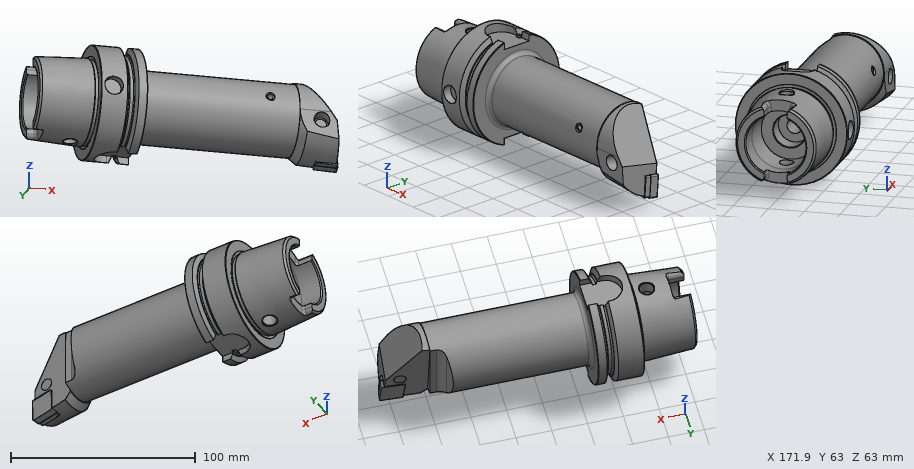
import cadquery as cq
import math

TOOL_LENGTH = 171.9
CUTTER_SIZE = 137.5

TAPER_NOSE_RADIUS = 22.5
TAPER_BASE_RADIUS = 24.0
TAPER_END_X = 30.0
TAPER_NOSE_CHAMFER = 1.2
UNDERCUT_RADIUS = 23.5
FACE_RECESS_RADIUS = 25.3
FACE_RECESS_DEPTH = 0.5
BORE_FLOOR_RADIUS = 15.8
BORE_DEPTH = 28.4
BORE_MOUTH_RADIUS = 16.8
BORE_MOUTH_DEPTH = 12.9
BORE_MOUTH_CHAMFER = 0.7
COUPLING_RADIUS = 9.1
COUPLING_DEPTH = 10.3
COUPLING_CHAMFER = 0.3
DUCT_RADIUS = 4.3
DUCT_DEPTH = 13.8
DRILL_POINT_ANGLE = 118.0
CROSS_HOLE_X = 22.7
CROSS_HOLE_RADIUS = 4.0
CROSS_HOLE_RELIEF_RADIUS = 4.3
CROSS_HOLE_RELIEF_HEIGHT = 22.9

SLOT_HALF_WIDTH = 6.5
SLOT_LIP_RADIUS = 2.5
SLOT_LIP_TOP = 21.0
SLOT_END_FILLET = 1.4
UPPER_SLOT_DEPTH = 10.0
LOWER_SLOT_DEPTH = 5.7

FLANGE_RADIUS = 31.5
FLANGE_CHAMFER = 0.3
FLANGE_START_X = 31.8
FLANGE_END_X = 57.8
GROOVE_RADIUS = 27.2
GROOVE_FRONT_X = 46.4
GROOVE_FLOOR_START_X = 49.0
GROOVE_FLOOR_END_X = 50.9
GROOVE_REAR_X = 52.8
GROOVE_FRONT_STEP_X = 48.0
GROOVE_REAR_STEP_X = 51.4
GROOVE_STEP_TOP_RADIUS = 28.5
GROOVE_STEP_RADIUS = 27.8
KEYWAY_START_X = 36.5
KEYWAY_HALF_WIDTH = 9.0
KEYWAY_FLOOR = 26.1
CHIP_HOLE_X = 38.8
CHIP_HOLE_RADIUS = 5.2
CHIP_HOLE_DEPTH = 5.2

SHANK_RADIUS = 20.1
SHANK_END_X = 146.0
NECK_FILLET = 2.5

HEAD_RADIUS = 20.6
FLARE_END_X = 149.9
FLARE_RADIUS = 24.0
HEAD_END_RADIUS = 26.0
FLUTE_START_X = 135.8
FLUTE_CORNER_X = 137.7
FLUTE_CORNER_Y = 13.0
FLUTE_FLOOR_X = 142.3
FLUTE_FLOOR_Y = 9.0
NOSE_CUT_X = 149.0
NOSE_CUT_ANGLE = 55.0
END_FACE_X = 167.0
END_FACE_Z = -6.9
END_FACE_ANGLE = 5.3

TIP_Z = -27.0
TIP_ANGLE = 80.0
EDGE_CLEARANCE_ANGLE = 5.0
EDGE_LENGTH = 13.0
NOSE_RADIUS = 0.9
INSERT_THICKNESS = 4.8
SHIM_THICKNESS = 3.1
SHIM_INSET = 0.3
SEAT_SLOPE = 0.13
RAKE_DROP = 0.5

LOCK_HOLE_X = 158.1
LOCK_HOLE_Z = -5.0
LOCK_HOLE_RADIUS = 4.3
LOCK_SCREW_RADIUS = 3.5
LOCK_SCREW_DEPTH = 6.5

PLUG_X = 129.8
PLUG_Z = 6.2
PLUG_RADIUS = 2.4
PLUG_RECESS = 0.7
PLUG_LENGTH = 6.0
PLUG_SOCKET_RADIUS = 1.5
PLUG_SOCKET_DEPTH = 2.0

SEAT_INWARD = cq.Vector(-SEAT_SLOPE, -1, SEAT_SLOPE).normalized()
SEAT_X_DIRECTION = cq.Vector(1, -SEAT_SLOPE, 0)
TIP_POINT = cq.Vector(TOOL_LENGTH, 0, TIP_Z)
LOCK_HOLE_MOUTH = cq.Vector(LOCK_HOLE_X, -HEAD_RADIUS, LOCK_HOLE_Z)


def seat_plane(depth):
    """Plane parallel to the insert, `depth` below its top; its X runs forward and its Y up."""
    return cq.Plane(TIP_POINT + SEAT_INWARD * depth, SEAT_X_DIRECTION, SEAT_INWARD)


def trim_block(point, outward):
    """Large block that lies on the outer side of a plane."""
    plane = cq.Plane(point, normal=outward)
    return cq.Workplane(plane).rect(CUTTER_SIZE, CUTTER_SIZE).extrude(CUTTER_SIZE)


def x_cylinder(radius, start_x, length):
    return cq.Workplane("YZ", origin=(start_x, 0, 0)).circle(radius).extrude(length)


def revolve_about_x(profile):
    """Solid of revolution from (x, radius) points."""
    return cq.Workplane("XY").polyline(profile).close().revolve(360, (0, 0, 0), (1, 0, 0))


def make_turned_blank():
    """Taper, flange and shank as one turned profile."""
    neck_arc = NECK_FILLET * (1 - math.sqrt(0.5))
    profile = (
        cq.Workplane("XY")
        .lineTo(0, TAPER_NOSE_RADIUS - TAPER_NOSE_CHAMFER)
        .lineTo(TAPER_NOSE_CHAMFER, TAPER_NOSE_RADIUS)
        .lineTo(TAPER_END_X, TAPER_BASE_RADIUS)
        .lineTo(TAPER_END_X + (TAPER_BASE_RADIUS - UNDERCUT_RADIUS), UNDERCUT_RADIUS)
        .lineTo(FLANGE_START_X + FACE_RECESS_DEPTH, UNDERCUT_RADIUS)
        .lineTo(FLANGE_START_X + FACE_RECESS_DEPTH, FACE_RECESS_RADIUS)
        .lineTo(FLANGE_START_X, FACE_RECESS_RADIUS)
        .lineTo(FLANGE_START_X, FLANGE_RADIUS - FLANGE_CHAMFER)
        .lineTo(FLANGE_START_X + FLANGE_CHAMFER, FLANGE_RADIUS)
        .lineTo(GROOVE_FRONT_X, FLANGE_RADIUS)
        .lineTo(GROOVE_FRONT_STEP_X, GROOVE_STEP_TOP_RADIUS)
        .lineTo(GROOVE_FRONT_STEP_X, GROOVE_STEP_RADIUS)
        .lineTo(GROOVE_FLOOR_START_X, GROOVE_RADIUS)
        .lineTo(GROOVE_FLOOR_END_X, GROOVE_RADIUS)
        .lineTo(GROOVE_REAR_STEP_X, GROOVE_STEP_RADIUS)
        .lineTo(GROOVE_REAR_STEP_X, GROOVE_STEP_TOP_RADIUS)
        .lineTo(GROOVE_REAR_X, FLANGE_RADIUS)
        .lineTo(FLANGE_END_X - FLANGE_CHAMFER, FLANGE_RADIUS)
        .lineTo(FLANGE_END_X, FLANGE_RADIUS - FLANGE_CHAMFER)
        .lineTo(FLANGE_END_X, SHANK_RADIUS + NECK_FILLET)
        .threePointArc(
            (FLANGE_END_X + neck_arc, SHANK_RADIUS + neck_arc),
            (FLANGE_END_X + NECK_FILLET, SHANK_RADIUS),
        )
        .lineTo(SHANK_END_X, SHANK_RADIUS)
        .lineTo(SHANK_END_X, 0)
        .close()
    )
    return profile.revolve(360, (0, 0, 0), (1, 0, 0))


def make_bore():
    """Bore that narrows towards its floor, with a coupling recess and a coolant duct beyond it."""
    recess_end_x = BORE_DEPTH + COUPLING_DEPTH
    duct_end_x = recess_end_x + DUCT_DEPTH
    drill_tip = DUCT_RADIUS / math.tan(math.radians(DRILL_POINT_ANGLE / 2))
    profile = [
        (0, 0),
        (0, BORE_MOUTH_RADIUS + BORE_MOUTH_CHAMFER),
        (BORE_MOUTH_CHAMFER, BORE_MOUTH_RADIUS),
        (BORE_MOUTH_DEPTH, BORE_MOUTH_RADIUS),
        (BORE_DEPTH, BORE_FLOOR_RADIUS),
        (BORE_DEPTH, COUPLING_RADIUS + COUPLING_CHAMFER),
        (BORE_DEPTH + COUPLING_CHAMFER, COUPLING_RADIUS),
        (recess_end_x, COUPLING_RADIUS),
        (recess_end_x, DUCT_RADIUS),
        (duct_end_x, DUCT_RADIUS),
        (duct_end_x + drill_tip, 0),
    ]
    return revolve_about_x(profile)


def make_driving_slot(depth, side):
    """Slot through the taper wall with rounded outer lips; side is 1 for +Z and -1 for -Z."""
    lip_start = SLOT_LIP_TOP - SLOT_LIP_RADIUS
    lip_end_y = SLOT_HALF_WIDTH + SLOT_LIP_RADIUS
    open_y = 2 * SLOT_HALF_WIDTH
    open_z = SLOT_LIP_TOP + 2 * SLOT_LIP_RADIUS
    arc = SLOT_LIP_RADIUS * (1 - math.sqrt(0.5))
    arc_y = SLOT_HALF_WIDTH + arc
    arc_z = SLOT_LIP_TOP - arc
    outline = (
        cq.Workplane("YZ")
        .moveTo(-SLOT_HALF_WIDTH, 0)
        .lineTo(SLOT_HALF_WIDTH, 0)
        .lineTo(SLOT_HALF_WIDTH, side * lip_start)
        .threePointArc((arc_y, side * arc_z), (lip_end_y, side * SLOT_LIP_TOP))
        .lineTo(open_y, side * SLOT_LIP_TOP)
        .lineTo(open_y, side * open_z)
        .lineTo(-open_y, side * open_z)
        .lineTo(-open_y, side * SLOT_LIP_TOP)
        .lineTo(-lip_end_y, side * SLOT_LIP_TOP)
        .threePointArc((-arc_y, side * arc_z), (-SLOT_HALF_WIDTH, side * lip_start))
        .close()
    )
    return outline.extrude(depth).faces(">X").edges().fillet(SLOT_END_FILLET)


def make_cross_hole():
    """Hole along Z through both taper walls, slightly wider where it breaks the surface."""
    hole = (
        cq.Workplane("XY", origin=(CROSS_HOLE_X, 0, 0))
        .circle(CROSS_HOLE_RADIUS)
        .extrude(FLANGE_RADIUS, both=True)
    )
    for side in (1, -1):
        relief = (
            cq.Workplane("XY", origin=(CROSS_HOLE_X, 0, side * CROSS_HOLE_RELIEF_HEIGHT))
            .circle(CROSS_HOLE_RELIEF_RADIUS)
            .extrude(side * CROSS_HOLE_RADIUS)
        )
        hole = hole.union(relief)
    return hole


def make_keyway(side):
    """Round-ended keyway in the flange, open towards the shank."""
    center_x = KEYWAY_START_X + KEYWAY_HALF_WIDTH
    return (
        cq.Workplane("XY", origin=(0, 0, side * KEYWAY_FLOOR))
        .moveTo(FLANGE_END_X, -KEYWAY_HALF_WIDTH)
        .lineTo(center_x, -KEYWAY_HALF_WIDTH)
        .threePointArc((KEYWAY_START_X, 0), (center_x, KEYWAY_HALF_WIDTH))
        .lineTo(FLANGE_END_X, KEYWAY_HALF_WIDTH)
        .close()
        .extrude(side * FLANGE_RADIUS)
    )


def make_chip_hole():
    """Blind round pocket in the -Y side of the flange."""
    return (
        cq.Workplane("XZ", origin=(CHIP_HOLE_X, -FLANGE_RADIUS + CHIP_HOLE_DEPTH, 0))
        .circle(CHIP_HOLE_RADIUS)
        .extrude(FLANGE_RADIUS)
    )


def make_head_blank():
    """Round upper half and flared lower half, the latter with a flat -Y side."""
    length = TOOL_LENGTH - SHANK_END_X
    flare = revolve_about_x(
        [
            (SHANK_END_X, 0),
            (SHANK_END_X, HEAD_RADIUS),
            (FLARE_END_X, FLARE_RADIUS),
            (TOOL_LENGTH, HEAD_END_RADIUS),
            (TOOL_LENGTH, 0),
        ]
    )
    lower_half = (
        cq.Workplane("XY", origin=(SHANK_END_X + length / 2, 0, 0))
        .rect(length, 2 * HEAD_RADIUS)
        .extrude(-CUTTER_SIZE)
    )
    return x_cylinder(HEAD_RADIUS, SHANK_END_X, length).union(flare.intersect(lower_half))


def make_flute():
    """Chip space that removes the +Y side of the head and the end of the shank."""
    outer_y = 2 * HEAD_RADIUS
    return (
        cq.Workplane("XY", origin=(0, 0, -CUTTER_SIZE / 2))
        .moveTo(FLUTE_START_X, SHANK_RADIUS)
        .lineTo(FLUTE_CORNER_X, FLUTE_CORNER_Y)
        .tangentArcPoint((FLUTE_FLOOR_X, FLUTE_FLOOR_Y), relative=False)
        .lineTo(TOOL_LENGTH, FLUTE_FLOOR_Y)
        .lineTo(TOOL_LENGTH, outer_y)
        .lineTo(FLUTE_START_X, outer_y)
        .close()
        .extrude(CUTTER_SIZE)
    )


def trim_head(holder):
    """Cut the sloping nose, the relieved end face and the rake face."""
    nose_angle = math.radians(NOSE_CUT_ANGLE)
    end_slope = math.tan(math.radians(END_FACE_ANGLE))
    nose_cut = trim_block(
        cq.Vector(NOSE_CUT_X, 0, HEAD_RADIUS),
        cq.Vector(math.sin(nose_angle), 0, math.cos(nose_angle)),
    )
    end_cut = trim_block(
        cq.Vector(END_FACE_X, -HEAD_RADIUS, END_FACE_Z), cq.Vector(1, -end_slope, end_slope)
    )
    rake_cut = trim_block(TIP_POINT + SEAT_INWARD * RAKE_DROP, SEAT_INWARD * -1)
    head_zone = trim_block(cq.Vector(SHANK_END_X, 0, 0), cq.Vector(1, 0, 0))
    rake_cut = rake_cut.intersect(head_zone)
    return holder.cut(nose_cut).cut(end_cut).cut(rake_cut)


def make_rhombic_plate(depth, thickness, inset):
    """Rhombic plate with rounded corners; its top lies `depth` below the top of the insert."""
    half_tip = math.radians(TIP_ANGLE / 2)
    up_angle = math.radians(90 + EDGE_CLEARANCE_ANGLE)
    back_angle = math.radians(180 - EDGE_CLEARANCE_ANGLE)
    corner = NOSE_RADIUS * (math.sqrt(0.5) / math.sin(half_tip) - 1)
    corner -= inset / math.sin(half_tip) * math.sqrt(0.5)
    edge = EDGE_LENGTH - 2 * inset / math.sin(2 * half_tip)
    up = (edge * math.cos(up_angle), edge * math.sin(up_angle))
    back = (edge * math.cos(back_angle), edge * math.sin(back_angle))
    corners = [
        (corner, -corner),
        (corner + up[0], -corner + up[1]),
        (corner + up[0] + back[0], -corner + up[1] + back[1]),
        (corner + back[0], -corner + back[1]),
    ]
    plate = cq.Workplane(seat_plane(depth)).polyline(corners).close().extrude(thickness)
    vertical_edges = cq.selectors.ParallelDirSelector(SEAT_INWARD)
    return plate.edges(vertical_edges).fillet(NOSE_RADIUS)


def make_insert():
    return make_rhombic_plate(0, INSERT_THICKNESS, 0)


def make_shim():
    return make_rhombic_plate(INSERT_THICKNESS, SHIM_THICKNESS, SHIM_INSET)


def lock_screw_axis(depth):
    """Workplane square to the insert seat, `depth` in from the -Y side along the screw axis."""
    plane = cq.Plane(LOCK_HOLE_MOUTH - SEAT_INWARD * depth, SEAT_X_DIRECTION, SEAT_INWARD * -1)
    return cq.Workplane(plane)


def make_lock_screw():
    """Screw from the floor of its access hole to the rake face."""
    head_thickness = (LOCK_HOLE_MOUTH - TIP_POINT).dot(SEAT_INWARD) - RAKE_DROP
    return (
        lock_screw_axis(LOCK_SCREW_DEPTH)
        .circle(LOCK_SCREW_RADIUS)
        .extrude(head_thickness - LOCK_SCREW_DEPTH)
    )


def make_lock_hole():
    """Access hole that ends at the screw, started outside the flat so that it opens fully."""
    length = LOCK_HOLE_RADIUS + LOCK_SCREW_DEPTH
    return lock_screw_axis(-LOCK_HOLE_RADIUS).circle(LOCK_HOLE_RADIUS).extrude(length)


def plug_workplane(recess):
    """Workplane facing +Y, `recess` below the -Y crest of the shank."""
    return cq.Workplane("ZX", origin=(PLUG_X, -SHANK_RADIUS + recess, PLUG_Z))


def make_plug_hole():
    return plug_workplane(0).circle(PLUG_RADIUS).extrude(PLUG_RECESS + PLUG_LENGTH)


def make_plug():
    """Round plug with a conical socket in its outer end."""
    surface_depth = SHANK_RADIUS - math.sqrt(SHANK_RADIUS**2 - PLUG_Z**2)
    length = PLUG_LENGTH - surface_depth
    socket = cq.Solid.makeCone(
        PLUG_SOCKET_RADIUS,
        0,
        PLUG_SOCKET_DEPTH,
        pnt=cq.Vector(PLUG_X, -SHANK_RADIUS + PLUG_RECESS + surface_depth, PLUG_Z),
        dir=cq.Vector(0, 1, 0),
    )
    body = plug_workplane(PLUG_RECESS + surface_depth).circle(PLUG_RADIUS).extrude(length)
    return body.cut(cq.Workplane(socket))


def make_holder(fitted_bodies):
    holder = make_turned_blank().cut(make_bore()).cut(make_cross_hole()).cut(make_chip_hole())
    for depth, side in ((UPPER_SLOT_DEPTH, 1), (LOWER_SLOT_DEPTH, -1)):
        holder = holder.cut(make_driving_slot(depth, side)).cut(make_keyway(side))
    holder = trim_head(holder.union(make_head_blank())).cut(make_flute())
    holder = holder.cut(make_plug_hole()).cut(make_lock_hole())
    for body in fitted_bodies:
        holder = holder.cut(body)
    return holder


insert = make_insert()
shim = make_shim()
lock_screw = make_lock_screw()
plug = make_plug()
holder = make_holder([insert, shim, lock_screw])

result = cq.Compound.makeCompound(
    [holder.val(), insert.val(), shim.val(), lock_screw.val(), plug.val()]
)